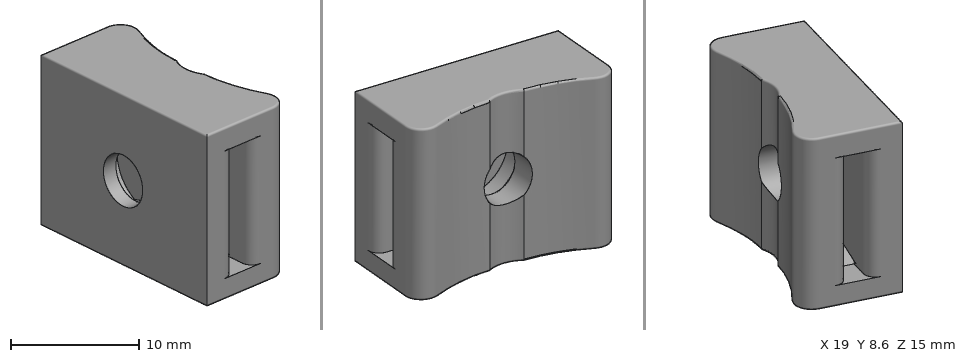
import cadquery as cq

length = 19.0
depth = 8.6
height = 15.0
edge_round = 0.19

lobe_radius = 1.52
lobe_shoulder_drop = 0.04
lobe_diagonal = lobe_radius * 0.5 ** 0.5
saddle_outer_x = 7.33
saddle_outer_y = 8.47
saddle_mid_x = 4.39
saddle_mid_y = 7.49
groove_half_width = 1.6
groove_edge_y = 7.15
groove_bottom_y = 6.7

slot_front_y = 2.9
slot_back_y = 4.7
slot_bottom_z = 1.82
slot_top_z = 13.0
mouth_radius = 1.0

bar_thickness = 1.24
bar_edge_gap = 2.01
bar_half_base = 7.03
bar_half_crest = 1.9

hole_x = -0.1
hole_z = 7.47
hole_diameter = 4.48
recess_diameter = 7.6
recess_start_y = 1.33


def make_body():
    half = length / 2
    lobe_x = half - lobe_radius
    lobe_y = depth - lobe_radius
    shoulder_x = (lobe_x + saddle_outer_x) / 2
    shoulder_y = depth - lobe_shoulder_drop
    outline = (
        cq.Workplane("XY")
        .moveTo(-half, 0)
        .lineTo(half, 0)
        .lineTo(half, lobe_y)
        .threePointArc((lobe_x + lobe_diagonal, lobe_y + lobe_diagonal), (lobe_x, depth))
        .threePointArc((shoulder_x, shoulder_y), (saddle_outer_x, saddle_outer_y))
        .threePointArc((saddle_mid_x, saddle_mid_y), (groove_half_width, groove_edge_y))
        .threePointArc((0, groove_bottom_y), (-groove_half_width, groove_edge_y))
        .threePointArc((-saddle_mid_x, saddle_mid_y), (-saddle_outer_x, saddle_outer_y))
        .threePointArc((-shoulder_x, shoulder_y), (-lobe_x, depth))
        .threePointArc((-lobe_x - lobe_diagonal, lobe_y + lobe_diagonal), (-half, lobe_y))
        .close()
    )
    return outline.extrude(height).faces("<Z or >Z").edges().fillet(edge_round)


def make_slot():
    half = length / 2
    inner = half - mouth_radius
    diagonal = mouth_radius * 0.5 ** 0.5
    bend = mouth_radius - diagonal
    front_mouth = slot_front_y - mouth_radius
    back_mouth = slot_back_y + mouth_radius
    return (
        cq.Workplane("XY", origin=(0, 0, slot_bottom_z))
        .moveTo(-half, front_mouth)
        .threePointArc((-inner - diagonal, slot_front_y - bend), (-inner, slot_front_y))
        .lineTo(inner, slot_front_y)
        .threePointArc((inner + diagonal, slot_front_y - bend), (half, front_mouth))
        .lineTo(half, back_mouth)
        .threePointArc((inner + diagonal, slot_back_y + bend), (inner, slot_back_y))
        .lineTo(-inner, slot_back_y)
        .threePointArc((-inner - diagonal, slot_back_y + bend), (-half, back_mouth))
        .close()
        .extrude(slot_top_z - slot_bottom_z)
    )


def make_bar(base_z, crest_z):
    return (
        cq.Workplane("XZ", origin=(0, slot_back_y, 0))
        .polyline([
            (-bar_half_base, base_z),
            (-bar_half_crest, crest_z),
            (bar_half_crest, crest_z),
            (bar_half_base, base_z),
        ])
        .close()
        .extrude(slot_back_y - slot_front_y)
    )


def make_bore(diameter, start_y, end_y):
    return (
        cq.Workplane("XZ", origin=(hole_x, start_y, hole_z))
        .circle(diameter / 2)
        .extrude(start_y - end_y)
    )


lower_bar = make_bar(bar_edge_gap, bar_edge_gap + bar_thickness)
upper_bar = make_bar(slot_top_z, slot_top_z - bar_thickness)
passage = make_slot().cut(lower_bar).cut(upper_bar)
hole = make_bore(hole_diameter, 0, depth)
recess = make_bore(recess_diameter, recess_start_y, slot_front_y)

result = make_body().cut(passage).cut(hole).cut(recess)